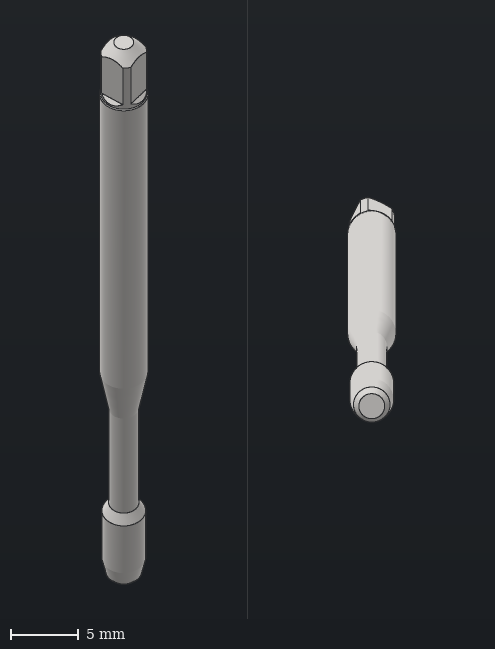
import cadquery as cq
import math

total_length = 56.1
shank_diameter = 3.6
shank_top_z = 50.7
taper_top_z = 21.45
taper_angle = 10.0

drive_corner_diameter = 3.4
drive_across_flats = 2.8
flat_bottom_z = 51.3
tip_diameter = 1.45
shoulder_height = (shank_diameter - drive_corner_diameter) / 2

neck_diameter = 2.25
neck_bottom_z = 7.7
taper_height = (shank_diameter - neck_diameter) / 2 / math.tan(math.radians(taper_angle))
taper_bottom_z = taper_top_z - taper_height

head_diameter = 3.25
head_top_z = 6.85
lead_top_z = 1.85
lead_bottom_z = 0.45
lead_bottom_diameter = 2.7
nose_diameter = 1.9


def turned(profile):
    """Revolve a closed outline of (radius, height) points about Z."""
    return cq.Workplane("XZ").polyline(profile).close().revolve(360, (0, 0), (0, 1))


def make_flat_cutter():
    """Prism that cuts one drive flat on +X, with a 45 degree runout at its lower end."""
    flat_x = drive_across_flats / 2
    outer_x = shank_diameter
    runout_drop = outer_x - flat_x
    profile = [
        (flat_x, flat_bottom_z),
        (outer_x, flat_bottom_z - runout_drop),
        (outer_x, total_length),
        (flat_x, total_length),
    ]
    return cq.Workplane("XZ").polyline(profile).close().extrude(shank_diameter / 2, both=True)


def make_shank():
    corner_radius = drive_corner_diameter / 2
    tip_cone_height = (drive_corner_diameter - tip_diameter) / 2
    shank = turned([
        (0, head_top_z),
        (head_diameter / 2, head_top_z),
        (neck_diameter / 2, neck_bottom_z),
        (neck_diameter / 2, taper_bottom_z),
        (shank_diameter / 2, taper_top_z),
        (shank_diameter / 2, shank_top_z),
        (corner_radius, shank_top_z + shoulder_height),
        (corner_radius, total_length - tip_cone_height),
        (tip_diameter / 2, total_length),
        (0, total_length),
    ])
    flat_cutter = make_flat_cutter()
    for angle in (0, 90, 180, 270):
        shank = shank.cut(flat_cutter.rotate((0, 0, 0), (0, 0, 1), angle))
    return shank


def make_cutting_head():
    return turned([
        (0, 0),
        (nose_diameter / 2, 0),
        (lead_bottom_diameter / 2, lead_bottom_z),
        (head_diameter / 2, lead_top_z),
        (head_diameter / 2, head_top_z),
        (0, head_top_z),
    ])


shank = make_shank()
cutting_head = make_cutting_head()
result = cq.Compound.makeCompound([shank.val(), cutting_head.val()])